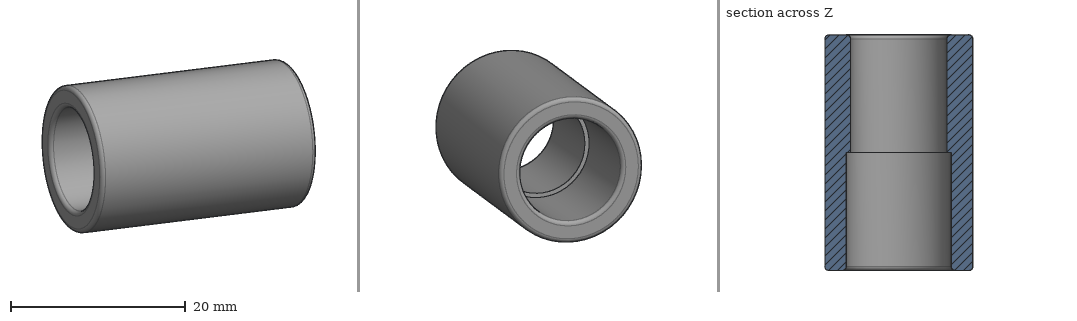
import cadquery as cq

outer_diameter = 17.0
length = 27.0
front_bore_diameter = 12.0
rear_bore_diameter = 11.0
front_bore_depth = length / 2
edge_radius = 0.5

front_y = -length / 2


def cylinder_along_y(diameter, start_y, height):
    """Solid cylinder on the Y axis, growing from start_y toward +Y."""
    return cq.Workplane("XZ", origin=(0, start_y, 0)).circle(diameter / 2).extrude(-height)


def make_bushing():
    """Sleeve with a stepped bore: wide at the -Y end, narrower at the +Y end."""
    sleeve = cylinder_along_y(outer_diameter, front_y, length)
    through_bore = cylinder_along_y(rear_bore_diameter, front_y, length)
    front_bore = cylinder_along_y(front_bore_diameter, front_y, front_bore_depth)
    return sleeve.cut(through_bore).cut(front_bore)


def round_end_edges(body):
    """Round the outer rim and the bore mouth on both end faces."""
    return body.faces("<Y or >Y").edges().fillet(edge_radius)


result = round_end_edges(make_bushing())